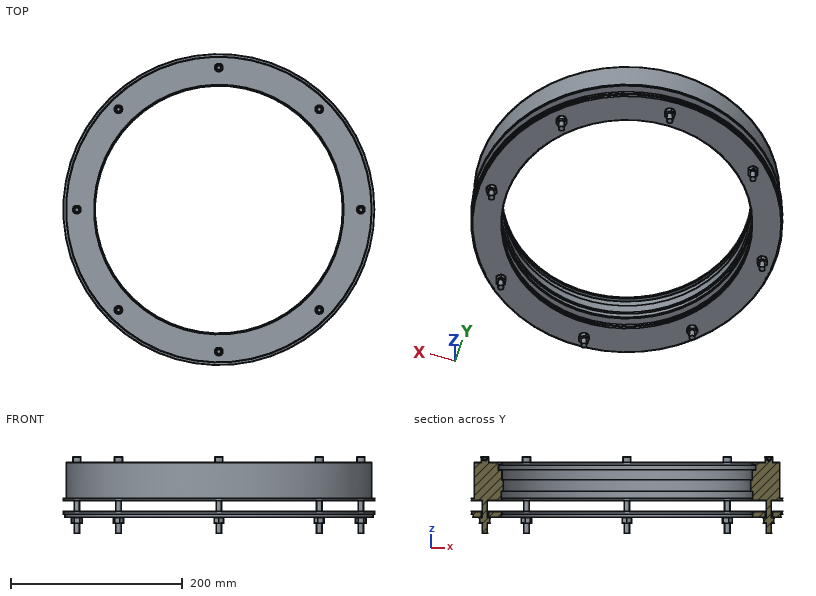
import cadquery as cq
import math

TOTAL_HEIGHT = 89.0
HOUSING_TOP = 82.5
HOUSING_BOTTOM = 38.0
RING_TOP = 25.7
RING_STEP = 22.0
RING_BOTTOM = 18.5
NUT_BOTTOM = 12.0

FLANGE_DIAMETER = 362.0
WALL_DIAMETER = 355.8
TOP_FACE_DIAMETER = 354.7
TOP_CHAMFER_HEIGHT = 0.5
FLANGE_THICKNESS = 3.0

BORE_DIAMETER = 290.5
GROOVE_DIAMETER = 298.5
LAND_DIAMETER = 287.5
LOWER_BORE_DIAMETER = 292.0
GROOVE_TOP = 79.3
GROOVE_BOTTOM = 74.0
LAND_TOP = 62.3
LAND_BOTTOM = 49.0

RING_BORE_DIAMETER = 290.5
RING_LOWER_DIAMETER = 358.7
RING_LOWER_BORE_DIAMETER = 292.0
RING_HOLE_DIAMETER = 8.0

BOLT_COUNT = 8
BOLT_CIRCLE_DIAMETER = 330.0
SHANK_DIAMETER = 6.5
HEAD_DIAMETER = 9.5
HEAD_TOP_DIAMETER = 8.0
HEAD_CHAMFER_HEIGHT = 0.5
SOCKET_ACROSS_FLATS = 5.0
SOCKET_DEPTH = 3.3
SOCKET_POINT_DEPTH = 1.5
NUT_ACROSS_FLATS = 11.0
NUT_CHAMFER_HEIGHT = 0.7
COS_30 = math.cos(math.radians(30))


def tube(outer_diameter, inner_diameter, bottom, top):
    """Ring about the Z axis between two heights."""
    return (
        cq.Workplane("XY")
        .workplane(offset=bottom)
        .circle(outer_diameter / 2)
        .circle(inner_diameter / 2)
        .extrude(top - bottom)
    )


def make_housing():
    """Flanged housing with a stepped and grooved bore."""
    flange_top = HOUSING_BOTTOM + FLANGE_THICKNESS
    bore_sections = (
        (LOWER_BORE_DIAMETER, flange_top, LAND_BOTTOM),
        (LAND_DIAMETER, LAND_BOTTOM, LAND_TOP),
        (BORE_DIAMETER, LAND_TOP, GROOVE_BOTTOM),
        (GROOVE_DIAMETER, GROOVE_BOTTOM, GROOVE_TOP),
        (BORE_DIAMETER, GROOVE_TOP, HOUSING_TOP),
    )
    housing = tube(FLANGE_DIAMETER, BORE_DIAMETER, HOUSING_BOTTOM, flange_top)
    for bore_diameter, bottom, top in bore_sections:
        housing = housing.union(tube(WALL_DIAMETER, bore_diameter, bottom, top))
    chamfer_width = (WALL_DIAMETER - TOP_FACE_DIAMETER) / 2
    top_outer_edge = cq.selectors.RadiusNthSelector(-1)
    return housing.faces(">Z").edges(top_outer_edge).chamfer(TOP_CHAMFER_HEIGHT, chamfer_width)


def make_clamping_ring():
    """Ring below the flange, stepped inside and outside, with clearance holes for the bolts."""
    upper = tube(FLANGE_DIAMETER, RING_BORE_DIAMETER, RING_STEP, RING_TOP)
    lower = tube(RING_LOWER_DIAMETER, RING_LOWER_BORE_DIAMETER, RING_BOTTOM, RING_STEP)
    holes = (
        cq.Workplane("XY")
        .workplane(offset=RING_BOTTOM)
        .polarArray(BOLT_CIRCLE_DIAMETER / 2, 0, 360, BOLT_COUNT)
        .circle(RING_HOLE_DIAMETER / 2)
        .extrude(RING_TOP - RING_BOTTOM)
    )
    return upper.union(lower).cut(holes)


def make_bolt():
    """Socket head bolt with its nut, on the Z axis."""
    shank = cq.Workplane("XY").circle(SHANK_DIAMETER / 2).extrude(HOUSING_TOP)
    head = (
        cq.Workplane("XY")
        .workplane(offset=HOUSING_TOP)
        .circle(HEAD_DIAMETER / 2)
        .extrude(TOTAL_HEIGHT - HOUSING_TOP)
        .faces(">Z")
        .chamfer(HEAD_CHAMFER_HEIGHT, (HEAD_DIAMETER - HEAD_TOP_DIAMETER) / 2)
        .faces(">Z")
        .workplane()
        .polygon(6, SOCKET_ACROSS_FLATS / COS_30)
        .cutBlind(-SOCKET_DEPTH)
    )
    nut_height = RING_BOTTOM - NUT_BOTTOM
    nut_corner_diameter = NUT_ACROSS_FLATS / COS_30
    nut = (
        cq.Workplane("XY")
        .workplane(offset=NUT_BOTTOM)
        .polygon(6, nut_corner_diameter)
        .extrude(nut_height)
    )
    nut_envelope = (
        cq.Workplane("XY")
        .workplane(offset=NUT_BOTTOM)
        .circle(nut_corner_diameter / 2)
        .extrude(nut_height)
        .faces(">Z")
        .chamfer(NUT_CHAMFER_HEIGHT, (nut_corner_diameter - NUT_ACROSS_FLATS) / 2)
    )
    nut = nut.intersect(nut_envelope)
    point_radius = SOCKET_ACROSS_FLATS / 2
    socket_point = cq.Workplane("XY").add(
        cq.Solid.makeCone(
            point_radius,
            0,
            SOCKET_POINT_DEPTH,
            pnt=cq.Vector(0, 0, TOTAL_HEIGHT - SOCKET_DEPTH),
            dir=cq.Vector(0, 0, -1),
        )
    )
    return shank.union(head).cut(socket_point).union(nut)


result = make_housing().union(make_clamping_ring())
first_bolt = make_bolt().translate((BOLT_CIRCLE_DIAMETER / 2, 0, 0))
for index in range(BOLT_COUNT):
    angle = index * 360 / BOLT_COUNT
    result = result.union(first_bolt.rotate((0, 0, 0), (0, 0, 1), angle))